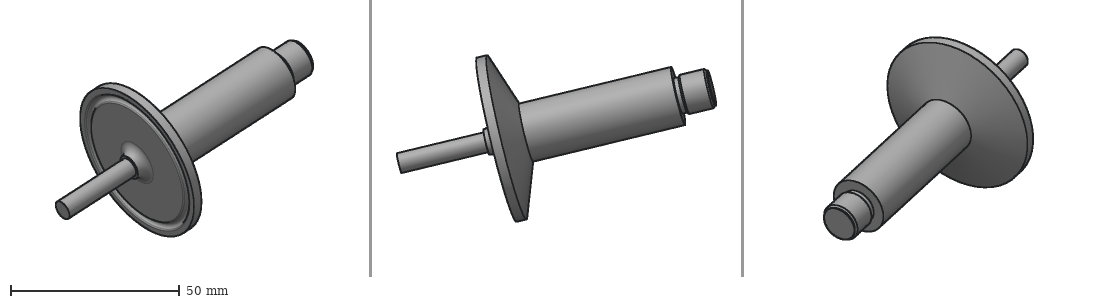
import cadquery as cq
import math

overall_length = 96.0
probe_length = 30.0
flange_thickness = 3.1
cone_end = 9.0
body_end = 55.7
connector_end = overall_length - probe_length

flange_radius = 50.4 / 2
body_radius = 8.9
connector_radius = 6.05
relief_radius = 5.5
probe_radius = 3.1

relief_length = 1.4
connector_chamfer = connector_radius - relief_radius
tip_land_length = 0.4

flare_radius = 7.1
flare_size = 3.2

groove_center_radius = 21.7
groove_radius = 1.2
lip_radius = 0.5


def make_turned_body():
    """Revolve the stepped outline (radius, Y) about the Y axis."""
    flare_tip_radius = flare_radius - flare_size
    arc_inset = flare_size * (1 - math.sqrt(0.5))
    flare_middle = (flare_tip_radius + arc_inset, -arc_inset)
    thread_start = body_end + relief_length
    chamfer_end = connector_end - tip_land_length
    outline = (
        cq.Workplane("XY")
        .moveTo(0, -probe_length)
        .lineTo(probe_radius, -probe_length)
        .lineTo(probe_radius, -flare_size)
        .lineTo(flare_tip_radius, -flare_size)
        .threePointArc(flare_middle, (flare_radius, 0))
        .lineTo(flange_radius, 0)
        .lineTo(flange_radius, flange_thickness)
        .lineTo(body_radius, cone_end)
        .lineTo(body_radius, body_end)
        .lineTo(relief_radius, body_end)
        .lineTo(relief_radius, thread_start)
        .lineTo(connector_radius, thread_start + connector_chamfer)
        .lineTo(connector_radius, chamfer_end - connector_chamfer)
        .lineTo(relief_radius, chamfer_end)
        .lineTo(relief_radius, connector_end)
        .lineTo(0, connector_end)
        .close()
    )
    return outline.revolve(360, (0, 0), (0, 1))


def make_groove():
    """Ring cutter: a round-bottomed groove whose lips are tangent to the flange face."""
    center_distance = groove_radius + lip_radius
    lip_angle = math.asin(lip_radius / center_distance)
    lip_offset = center_distance * math.cos(lip_angle)
    joint_offset = groove_radius * math.cos(lip_angle)
    joint_depth = groove_radius * math.sin(lip_angle)
    mid_angle = (math.pi / 2 + lip_angle) / 2
    lip_mid_offset = lip_offset - lip_radius * math.cos(mid_angle)
    lip_mid_depth = lip_radius * (1 - math.sin(mid_angle))

    def at(offset, depth):
        return (groove_center_radius + offset, depth)

    section = (
        cq.Workplane("XY")
        .moveTo(*at(-lip_offset, 0))
        .threePointArc(at(-lip_mid_offset, lip_mid_depth), at(-joint_offset, joint_depth))
        .threePointArc(at(0, groove_radius), at(joint_offset, joint_depth))
        .threePointArc(at(lip_mid_offset, lip_mid_depth), at(lip_offset, 0))
        .close()
    )
    return section.revolve(360, (0, 0), (0, 1))


result = make_turned_body().cut(make_groove())